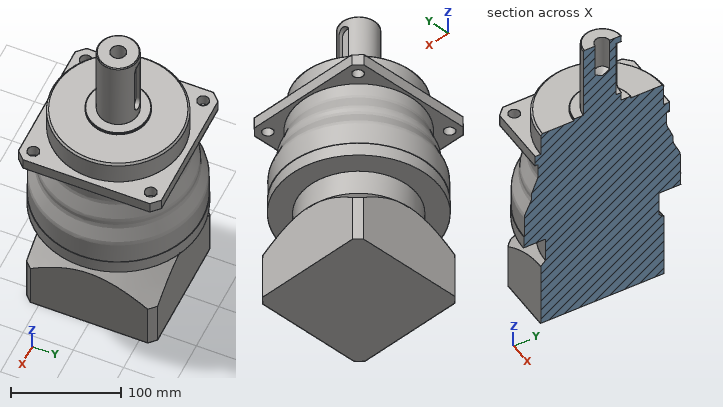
import cadquery as cq
import math

TOTAL_HEIGHT = 317.7
CORNER_TOP = 49.0
FLANGE_BOTTOM = 102.3
FLANGE_TOP = 116.5
LOWER_CONE_BOTTOM = 142.0
LOWER_CONE_TOP = 158.2
UPPER_CONE_BOTTOM = 166.0
UPPER_CONE_TOP = 183.3
PLATE_BOTTOM = 198.5
PLATE_THICKNESS = 12.0
PILOT_TOP = 235.5
SEAL_TOP = 237.5

BASE_WIDTH = 130.3
BASE_CORNER_RADIUS = 87.5
NECK_RADIUS = 60.0
CONE_TOP = CORNER_TOP + BASE_CORNER_RADIUS - NECK_RADIUS

FLANGE_DIAMETER = 166.0
FLANGE_RADIUS = FLANGE_DIAMETER / 2
DRUM_RADIUS = 82.5
MIDDLE_RADIUS = 75.0
COLLAR_RADIUS = 68.0
HOUSING_FILLET = 9.5
PILOT_RADIUS = 65.0
PILOT_CHAMFER = 2.0
SEAL_RADIUS = 30.2
SEAL_CHAMFER = 0.5

PLATE_WIDTH = 142.0
PLATE_CORNER_CHAMFER = 8.0
PLATE_HOLE_DIAMETER = 11.5
PLATE_HOLE_SPACING = 116.5

SHAFT_RADIUS = 20.0
SHAFT_CHAMFER = 1.0
CENTRE_HOLE_DIAMETER = 15.0
CENTRE_HOLE_DEPTH = 36.0
DRILL_POINT_ANGLE = 118.0
KEYWAY_WIDTH = 12.0
KEYWAY_LENGTH = 63.0
KEYWAY_DEPTH = 5.0
KEYWAY_END_GAP = 8.0


def cylinder(radius, bottom, top):
    return cq.Workplane("XY").workplane(offset=bottom).circle(radius).extrude(top - bottom)


def make_base():
    """Square block with cylindrical corners, narrowed by a cone at the top."""
    block = cq.Workplane("XY").rect(BASE_WIDTH, BASE_WIDTH).extrude(CONE_TOP)
    turned_envelope = (
        cq.Workplane("XZ")
        .moveTo(0, 0)
        .lineTo(BASE_CORNER_RADIUS, 0)
        .lineTo(BASE_CORNER_RADIUS, CORNER_TOP)
        .lineTo(NECK_RADIUS, CONE_TOP)
        .lineTo(0, CONE_TOP)
        .close()
        .revolve(360, (0, 0), (0, 1))
    )
    return block.intersect(turned_envelope)


def make_housing():
    """Stepped housing with two cones, blended where they meet the cylinders."""
    blend_heights = (LOWER_CONE_BOTTOM, LOWER_CONE_TOP, UPPER_CONE_BOTTOM, UPPER_CONE_TOP)
    housing = (
        cq.Workplane("XZ")
        .moveTo(0, FLANGE_BOTTOM)
        .lineTo(FLANGE_RADIUS, FLANGE_BOTTOM)
        .lineTo(FLANGE_RADIUS, FLANGE_TOP)
        .lineTo(DRUM_RADIUS, FLANGE_TOP)
        .lineTo(DRUM_RADIUS, LOWER_CONE_BOTTOM)
        .lineTo(MIDDLE_RADIUS, LOWER_CONE_TOP)
        .lineTo(MIDDLE_RADIUS, UPPER_CONE_BOTTOM)
        .lineTo(COLLAR_RADIUS, UPPER_CONE_TOP)
        .lineTo(COLLAR_RADIUS, PLATE_BOTTOM)
        .lineTo(0, PLATE_BOTTOM)
        .close()
        .revolve(360, (0, 0), (0, 1))
    )
    margin = HOUSING_FILLET / 10
    for height in blend_heights:
        band = cq.selectors.BoxSelector(
            (-BASE_WIDTH, -BASE_WIDTH, height - margin),
            (BASE_WIDTH, BASE_WIDTH, height + margin),
        )
        housing = housing.edges("%CIRCLE").edges(band).fillet(HOUSING_FILLET)
    return housing


def make_plate():
    """Square mounting plate with cut corners and four through holes."""
    return (
        cq.Workplane("XY")
        .workplane(offset=PLATE_BOTTOM)
        .rect(PLATE_WIDTH, PLATE_WIDTH)
        .extrude(PLATE_THICKNESS)
        .edges("|Z")
        .chamfer(PLATE_CORNER_CHAMFER)
        .faces(">Z")
        .workplane()
        .rect(PLATE_HOLE_SPACING, PLATE_HOLE_SPACING, forConstruction=True)
        .vertices()
        .hole(PLATE_HOLE_DIAMETER)
    )


def make_shaft():
    """Output shaft with a chamfered end."""
    return cylinder(SHAFT_RADIUS, PILOT_TOP, TOTAL_HEIGHT).faces(">Z").edges().chamfer(SHAFT_CHAMFER)


def make_centre_hole():
    """Drilled hole with a conical bottom, on the axis of the shaft end."""
    radius = CENTRE_HOLE_DIAMETER / 2
    straight_end = TOTAL_HEIGHT - CENTRE_HOLE_DEPTH
    point_length = radius / math.tan(math.radians(DRILL_POINT_ANGLE / 2))
    return (
        cq.Workplane("XZ")
        .moveTo(0, TOTAL_HEIGHT)
        .lineTo(radius, TOTAL_HEIGHT)
        .lineTo(radius, straight_end)
        .lineTo(0, straight_end - point_length)
        .close()
        .revolve(360, (0, 0), (0, 1))
    )


def make_keyway():
    """Round-ended keyway on the +Y side of the shaft."""
    centre_height = TOTAL_HEIGHT - KEYWAY_END_GAP - KEYWAY_LENGTH / 2
    return (
        cq.Workplane("XZ", origin=(0, SHAFT_RADIUS, 0))
        .center(0, centre_height)
        .slot2D(KEYWAY_LENGTH, KEYWAY_WIDTH, 90)
        .extrude(KEYWAY_DEPTH)
    )


neck = cylinder(NECK_RADIUS, CONE_TOP, FLANGE_BOTTOM)
pilot = cylinder(PILOT_RADIUS, PLATE_BOTTOM + PLATE_THICKNESS, PILOT_TOP)
pilot = pilot.faces(">Z").edges().chamfer(PILOT_CHAMFER)
seal = cylinder(SEAL_RADIUS, PILOT_TOP, SEAL_TOP).faces(">Z").edges().chamfer(SEAL_CHAMFER)

result = (
    make_base()
    .union(neck)
    .union(make_housing())
    .union(make_plate())
    .union(pilot)
    .union(seal)
    .union(make_shaft())
    .cut(make_centre_hole())
    .cut(make_keyway())
)